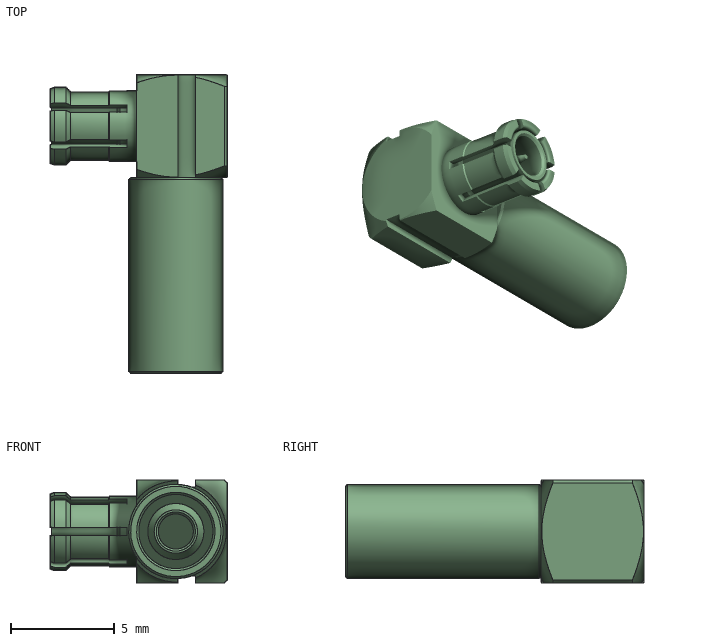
import cadquery as cq
import math


BODY_SIZE = 5.0
BODY_HALF = BODY_SIZE / 2
BODY_LEFT = -1.9
BODY_LENGTH = BODY_HALF - BODY_LEFT
EDGE_CHAMFER = 0.15
GROOVE_LEFT = 0.1
GROOVE_WIDTH = 0.85
GROOVE_DEPTH = 0.33
FACE_RADIUS = 2.45
CONE_ANGLE = 30.0

SLEEVE_RADIUS = 2.29
SLEEVE_END = 12.0
SLEEVE_CHAMFER = 0.1
SLEEVE_BORE = 1.8
SLEEVE_BORE_CHAMFER = 0.1
FERRULE_RADIUS = 1.36
FERRULE_TIP_RADIUS = 1.05
FERRULE_TIP_LENGTH = 0.5
FERRULE_END = 9.0
FERRULE_BORE = 0.85
FERRULE_BORE_CHAMFER = 0.1

PLUG_END = -6.1
SHELL_RADIUS = 1.67
COLLAR_RADIUS = 1.72
COLLAR_START = -3.26
COLLAR_STEP = 0.05
LIP_RADIUS = 1.9
LIP_CHAMFER_LENGTH = 0.2
LIP_CHAMFER_DEPTH = 0.08
LIP_BACK = -5.34
LIP_BACK_END = -5.1
SHELL_BORE = 1.4
MOUTH_ROUNDING = 0.13

SLOT_COUNT = 6
SLOT_WIDTH = 0.41
SLOT_END = -2.37

TUBE_END = -6.04
TUBE_RADIUS = 1.27
TUBE_SEAT_START = -2.86
TUBE_SEAT_END = -2.7
TUBE_BORE = 1.02
TUBE_BORE_CHAMFER = 0.1
TUBE_BORE_FLOOR = -2.5
PIN_RADIUS = 0.28
PIN_TIP_RADIUS = 0.11
PIN_TIP_LENGTH = 0.8
PIN_END = -5.8


def turned_x(points):
    """Revolve an (x, radius) outline about the plug axis."""
    return cq.Workplane("XZ").polyline(points).close().revolve(360, (0, 0, 0), (1, 0, 0))


def turned_y(points):
    """Revolve a (radius, distance towards -Y) outline about the sleeve axis."""
    outline = [(-distance, radius) for radius, distance in points]
    return cq.Workplane("YZ").polyline(outline).close().revolve(360, (0, 0, 0), (1, 0, 0))


def make_body():
    body = cq.Workplane("XY").box(BODY_LENGTH, BODY_SIZE, BODY_SIZE)
    body = body.translate((BODY_LEFT + BODY_LENGTH / 2, 0, 0))
    body = body.edges("|Y and >X").chamfer(EDGE_CHAMFER)

    middle_radius = FACE_RADIUS + BODY_HALF / math.tan(math.radians(CONE_ANGLE))
    corner_envelope = turned_y([
        (0, -BODY_HALF),
        (FACE_RADIUS, -BODY_HALF),
        (middle_radius, 0),
        (FACE_RADIUS, BODY_HALF),
        (0, BODY_HALF),
    ])
    body = body.intersect(corner_envelope)

    for side in (-1, 1):
        groove = cq.Workplane("XY").box(GROOVE_WIDTH, BODY_SIZE, 2 * GROOVE_DEPTH)
        body = body.cut(groove.translate((GROOVE_LEFT + GROOVE_WIDTH / 2, 0, side * BODY_HALF)))
    return body


def make_sleeve():
    return turned_y([
        (SLEEVE_BORE, BODY_HALF),
        (SLEEVE_RADIUS - SLEEVE_CHAMFER, BODY_HALF),
        (SLEEVE_RADIUS, BODY_HALF + SLEEVE_CHAMFER),
        (SLEEVE_RADIUS, SLEEVE_END - SLEEVE_CHAMFER),
        (SLEEVE_RADIUS - SLEEVE_CHAMFER, SLEEVE_END),
        (SLEEVE_BORE + SLEEVE_BORE_CHAMFER, SLEEVE_END),
        (SLEEVE_BORE, SLEEVE_END - SLEEVE_BORE_CHAMFER),
    ])


def make_ferrule():
    return turned_y([
        (FERRULE_BORE, BODY_HALF),
        (FERRULE_RADIUS, BODY_HALF),
        (FERRULE_RADIUS, FERRULE_END - FERRULE_TIP_LENGTH),
        (FERRULE_TIP_RADIUS, FERRULE_END),
        (FERRULE_BORE + FERRULE_BORE_CHAMFER, FERRULE_END),
        (FERRULE_BORE, FERRULE_END - FERRULE_BORE_CHAMFER),
    ])


def make_shell():
    shell = turned_x([
        (PLUG_END, SHELL_BORE),
        (PLUG_END, LIP_RADIUS - LIP_CHAMFER_DEPTH),
        (PLUG_END + LIP_CHAMFER_LENGTH, LIP_RADIUS),
        (LIP_BACK, LIP_RADIUS),
        (LIP_BACK_END, SHELL_RADIUS),
        (COLLAR_START, SHELL_RADIUS),
        (COLLAR_START + COLLAR_STEP, COLLAR_RADIUS),
        (BODY_LEFT, COLLAR_RADIUS),
        (BODY_LEFT, SHELL_BORE),
    ])
    shell = shell.edges("<X").edges(cq.selectors.RadiusNthSelector(0)).fillet(MOUTH_ROUNDING)

    slot_length = SLOT_END - PLUG_END
    slot = cq.Workplane("XY").box(slot_length, LIP_RADIUS, SLOT_WIDTH)
    slot = slot.translate((PLUG_END + slot_length / 2, SHELL_BORE / 2 + LIP_RADIUS / 2, 0))
    for index in range(SLOT_COUNT):
        angle = index * 360 / SLOT_COUNT
        shell = shell.cut(slot.rotate((0, 0, 0), (1, 0, 0), angle))
    return shell


def make_insulator():
    return turned_x([
        (BODY_LEFT, 0),
        (BODY_LEFT, SHELL_BORE),
        (TUBE_SEAT_END, SHELL_BORE),
        (TUBE_SEAT_START, TUBE_RADIUS),
        (TUBE_END, TUBE_RADIUS),
        (TUBE_END, TUBE_BORE + TUBE_BORE_CHAMFER),
        (TUBE_END + TUBE_BORE_CHAMFER, TUBE_BORE),
        (TUBE_BORE_FLOOR, TUBE_BORE),
        (TUBE_BORE_FLOOR, 0),
    ])


def make_pin():
    return turned_x([
        (BODY_LEFT, 0),
        (BODY_LEFT, PIN_RADIUS),
        (PIN_END + PIN_TIP_LENGTH, PIN_RADIUS),
        (PIN_END, PIN_TIP_RADIUS),
        (PIN_END, 0),
    ])


result = make_body()
for piece in (make_sleeve(), make_ferrule(), make_shell(), make_insulator(), make_pin()):
    result = result.union(piece)